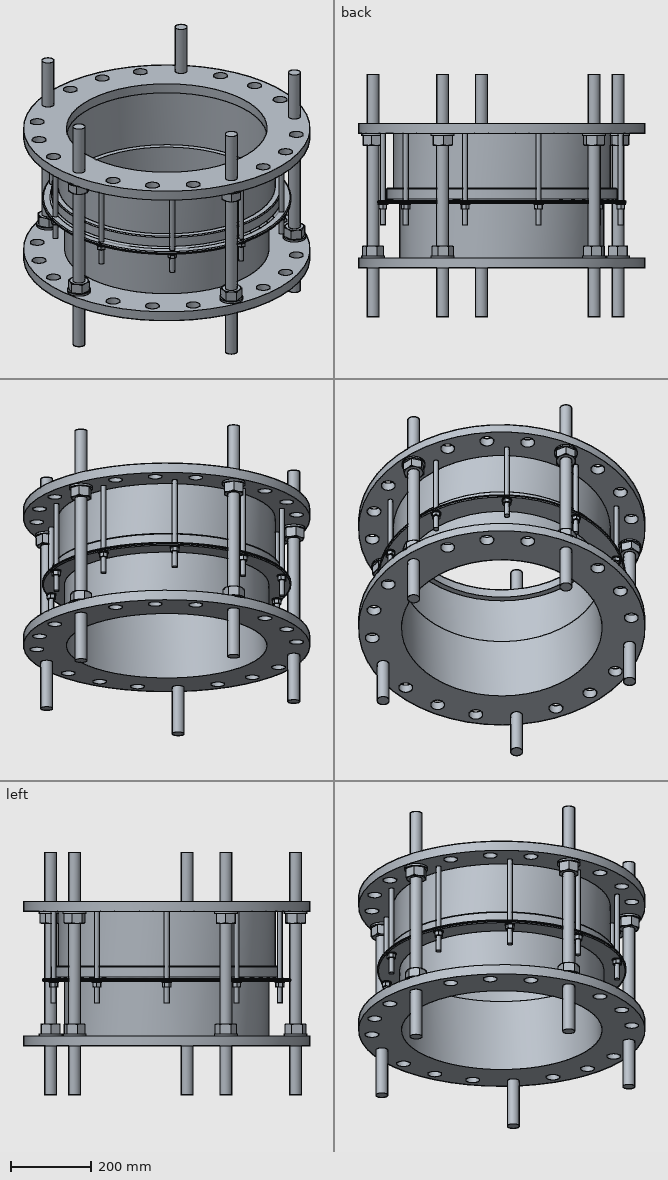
import cadquery as cq
import math

flange_radius = 357.5
bore_radius = 250.0
flange_thickness = 25.0
flange_outer_z = 180.0
flange_inner_z = flange_outer_z - flange_thickness
hole_count = 20
hole_circle_radius = 325.0
hole_diameter = 34.0
hole_pitch = 360 / hole_count
first_hole_angle = hole_pitch / 2

upper_pipe_radius = 271.0
upper_pipe_inner_radius = 264.0
lower_pipe_radius = 255.0
pipe_overlap_z = 4.0

collar_radius = 287.5
collar_top_z = 19.0
gland_radius = 310.0
gland_top_z = -12.0
gland_bottom_z = -20.0
gland_root_fillet = 4.0
gland_edge_chamfer = 2.5

rod_count = 5
rod_diameter = 30.0
rod_length = 605.0
first_rod_angle = 63
rod_nut_flats = 46.5
rod_nut_height = 25.0
rod_washer_diameter = 57.0
rod_washer_thickness = 5.0

bolt_count = 10
bolt_circle_radius = 297.0
bolt_diameter = 13.0
bolt_end_z = -73.0
bolt_nut_flats = 18.5
bolt_nut_height = 11.0
bolt_washer_diameter = 24.0
bolt_washer_thickness = 2.0


def ring(outer_radius, inner_radius, bottom_z, top_z):
    """Flat ring about the Z axis."""
    blank = cq.Workplane("XY", origin=(0, 0, bottom_z)).circle(outer_radius)
    return blank.circle(inner_radius).extrude(top_z - bottom_z)


def rod_along_z(diameter, bottom_z, top_z):
    """Round bar on the Z axis."""
    return cq.Workplane("XY", origin=(0, 0, bottom_z)).circle(diameter / 2).extrude(top_z - bottom_z)


def washer_and_nut(washer_diameter, washer_thickness, flats, height):
    """Washer on z = 0 with a plain hex nut above it."""
    nut = cq.Workplane("XY").polygon(6, hex_corner_diameter(flats)).extrude(washer_thickness + height)
    return rod_along_z(washer_diameter, 0, washer_thickness).union(nut)


def hex_corner_diameter(flats):
    """Width across corners of a hexagon from its width across flats."""
    return flats / math.cos(math.radians(30))


def make_rod_nut():
    """Tie-rod washer and nut; the nut's free corners are bevelled at 30 degrees."""
    washer_nut = washer_and_nut(rod_washer_diameter, rod_washer_thickness, rod_nut_flats, rod_nut_height)
    bevel_width = (rod_washer_diameter - rod_nut_flats) / 2
    bevel_height = bevel_width * math.tan(math.radians(30))
    envelope = rod_along_z(rod_washer_diameter, 0, rod_washer_thickness + rod_nut_height)
    return washer_nut.intersect(envelope.faces(">Z").chamfer(bevel_height, bevel_width))


def place(shape, radius, angle):
    """Move a shape from the Z axis to a pitch circle, turning it with the angle."""
    return shape.translate((radius, 0, 0)).rotate((0, 0, 0), (0, 0, 1), angle)


def hang(washer_nut, top_z):
    """Turn a washer and nut upside down under top_z, with a flat of the nut facing the part's axis."""
    turned = washer_nut.rotate((0, 0, 0), (0, 0, 1), 30)
    return turned.rotate((0, 0, 0), (1, 0, 0), 180).translate((0, 0, top_z))


def make_flange(bottom_z):
    """Flange with its bolt holes; the tie-rod positions are left for the rods to fill."""
    flange = ring(flange_radius, bore_radius, bottom_z, bottom_z + flange_thickness)
    drill = rod_along_z(hole_diameter, bottom_z, bottom_z + flange_thickness)
    rods_every = hole_count // rod_count
    rod_slot = round((first_rod_angle - first_hole_angle) / hole_pitch) % rods_every
    for slot in range(hole_count):
        if slot % rods_every != rod_slot:
            flange = flange.cut(place(drill, hole_circle_radius, first_hole_angle + slot * hole_pitch))
    return flange


def make_tie_rod():
    """Tie rod with a nut against the inner face of each flange."""
    rod = rod_along_z(rod_diameter, -rod_length / 2, rod_length / 2)
    nut = make_rod_nut()
    lower_nut = nut.translate((0, 0, -flange_inner_z))
    return rod.union(lower_nut).union(hang(nut, flange_inner_z))


def make_gland_bolt():
    """Stud from the upper flange down through the gland, with a nut below it."""
    stud = rod_along_z(bolt_diameter, bolt_end_z, flange_inner_z)
    nut = washer_and_nut(bolt_washer_diameter, bolt_washer_thickness, bolt_nut_flats, bolt_nut_height)
    return stud.union(hang(nut, gland_bottom_z))


def make_gland():
    """Collar and bolted flange as one turned ring, closed down to the lower pipe."""
    root_x = collar_radius + gland_root_fillet
    root_z = gland_top_z + gland_root_fillet
    root_middle = gland_root_fillet * (1 - math.sqrt(0.5))
    chamfer = gland_edge_chamfer
    half_section = (
        cq.Workplane("XZ")
        .moveTo(lower_pipe_radius, gland_bottom_z)
        .lineTo(gland_radius - chamfer, gland_bottom_z)
        .lineTo(gland_radius, gland_bottom_z + chamfer)
        .lineTo(gland_radius, gland_top_z - chamfer)
        .lineTo(gland_radius - chamfer, gland_top_z)
        .lineTo(root_x, gland_top_z)
        .threePointArc((collar_radius + root_middle, gland_top_z + root_middle), (collar_radius, root_z))
        .lineTo(collar_radius, collar_top_z - chamfer)
        .lineTo(collar_radius - chamfer, collar_top_z)
        .lineTo(upper_pipe_inner_radius, collar_top_z)
        .lineTo(upper_pipe_inner_radius, pipe_overlap_z)
        .lineTo(lower_pipe_radius, pipe_overlap_z)
        .close()
    )
    return half_section.revolve(360, (0, 0, 0), (0, 1, 0))


upper_pipe = ring(upper_pipe_radius, upper_pipe_inner_radius, pipe_overlap_z, flange_inner_z)
lower_pipe = ring(lower_pipe_radius, bore_radius, -flange_inner_z, pipe_overlap_z)
result = upper_pipe.union(make_gland()).union(lower_pipe)
result = result.union(make_flange(flange_inner_z)).union(make_flange(-flange_outer_z))

tie_rod = make_tie_rod()
for index in range(rod_count):
    result = result.union(place(tie_rod, hole_circle_radius, first_rod_angle + index * 360 / rod_count))

gland_bolt = make_gland_bolt()
for index in range(bolt_count):
    result = result.union(place(gland_bolt, bolt_circle_radius, index * 360 / bolt_count))